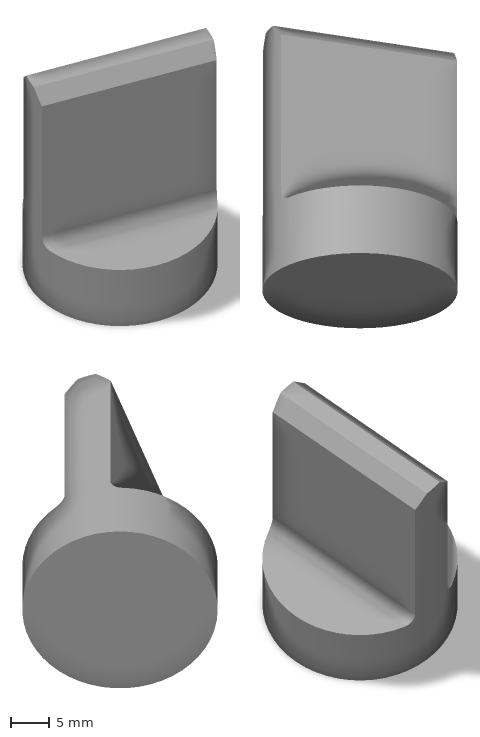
import cadquery as cq

diameter = 25.4
total_height = 34.925
base_height = 9.525
blade_thickness = 6.35
tip_chamfer = 1.905
root_fillet = 1.5

radius = diameter / 2
half_blade = blade_thickness / 2
half_tip = half_blade - tip_chamfer
shoulder_height = total_height - tip_chamfer


def blade_profile():
    """XZ profile of the base and blade, extruded across the full diameter along Y."""
    return (
        cq.Workplane("XZ")
        .moveTo(-radius, 0)
        .lineTo(radius, 0)
        .lineTo(radius, base_height)
        .lineTo(half_blade + root_fillet, base_height)
        .radiusArc((half_blade, base_height + root_fillet), root_fillet)
        .lineTo(half_blade, shoulder_height)
        .lineTo(half_tip, total_height)
        .lineTo(-half_tip, total_height)
        .lineTo(-half_blade, shoulder_height)
        .lineTo(-half_blade, base_height + root_fillet)
        .radiusArc((-half_blade - root_fillet, base_height), root_fillet)
        .lineTo(-radius, base_height)
        .close()
        .extrude(radius, both=True)
    )


def round_blank():
    """Cylinder that bounds both the base and the ends of the blade."""
    return cq.Workplane("XY").circle(radius).extrude(total_height)


result = round_blank().intersect(blade_profile())